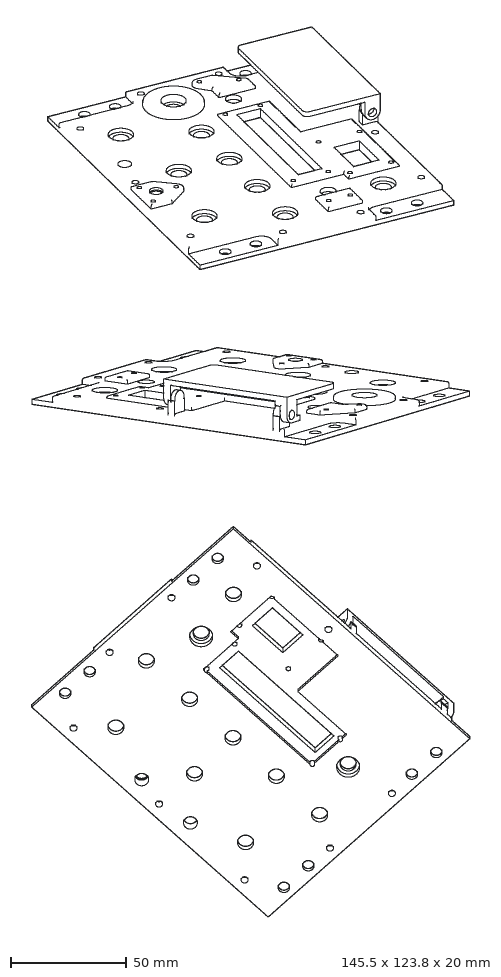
import cadquery as cq
import math

WIDTH = 145.5
DEPTH = 123.82
HEIGHT = 20.0
SIDE = WIDTH / 2
BACK = DEPTH / 2
SIGNS = (-1, 1)

PANEL_TOP = 5.2
EDGE_RADIUS = 1.0

FLANGE_TOP = 2.3
FLANGE_WIDTH = 11.0
FLANGE_LENGTH = 38.0
POCKET_CORNER_RADIUS = 5.0
FLANGE_HOLE_D = 5.0
FLANGE_HOLE_X = SIDE - FLANGE_WIDTH / 2
FLANGE_HOLES_Y = (31.8, 46.8)

SCREW_HOLE_D = 3.0
SIDE_SCREW_X = 67.8
SIDE_SCREW_Y = 19.0
END_SCREW_X = 52.6
END_SCREW_Y = 56.3
BACK_MIDDLE_SCREW_X = 8.6

SHAFT_HOLE_D = 7.0
SHAFT_BORE_D = 10.0
SHAFT_BORE_TOP = 3.0
SHAFT_X = 45.2
SHAFT_Y = 14.7

JACK_HOLE_D = 6.0
JACK_XS = (-16.2, 13.8)
JACK_Y = -53.2
JACK_RECESS_D = 10.0
JACK_RECESS_TOP = 5.8

BUTTON_HOLE_D = 7.0
BUTTON_BORE_D = 11.0
BUTTON_BORE_FLOOR = 3.2
BUTTON_PITCH = 26.65
BUTTON_ROW_X = 0.3
BUTTON_ROW_Y = -10.6
BUTTON_ROW_STEPS = (-2, -1, 0, 1, 2)
LOOSE_BUTTONS = [(-39.9, -43.0), (39.9, -43.0), (-0.4, -34.9), (49.9, 39.2)]

PAD_TOP = 7.0
BLIND_HOLE_D = 2.0
BLIND_HOLE_DEPTH = 3.0
DIAL_D = 27.0

LATCH_NOSE = (-62.8, 6.9)
LATCH_NOSE_RADIUS = 3.1
LATCH_SHOULDER_Y = 14.65
LATCH_FRONT = 9.6
LATCH_BACK = 27.4
LATCH_RIGHT = -49.1
LATCH_BACK_LEFT = -56.2
LATCH_HOLES = [(-62.6, 6.9), (-56.4, 23.0)]

SENSOR_LEFT, SENSOR_RIGHT = 49.1, 61.1
SENSOR_FRONT, SENSOR_BACK = 6.6, 23.4
SENSOR_HOLES = [(55.2, 9.8), (55.2, 20.4)]

JACK_PAD_X = 14.4
JACK_PAD_HALF_WIDTH = 9.6
JACK_PAD_FRONT = -60.9
JACK_PAD_SHOULDER_Y = -50.6
JACK_PAD_NOSE_Y = -43.7
JACK_PAD_NOSE_RADIUS = 3.3
JACK_PAD_HOLE_SPREAD = 6.6
JACK_PAD_HOLES_Y = -58.3

PLATFORM_HEIGHT = 1.1
LCD_LEFT, LCD_RIGHT = -35.5, 35.1
LCD_FRONT, LCD_BACK = 1.9, 27.4
KEYPAD_LEFT, KEYPAD_RIGHT = -5.5, 39.8
KEYPAD_BACK = 52.2
WINDOWS = [
    (-1.35, 14.65, 58.7, 11.5),
    (23.25, 39.7, 18.7, 12.3),
]
PLATFORM_HOLE_D = 2.0
LCD_HOLES = [(x, y) for x in (-33.3, 31.6) for y in (4.6, 21.7)]
KEYPAD_HOLES = [(x, y) for x in (6.6, 36.7) for y in (29.7, 49.7)]
UNDERSIDE_RECESS_TOP = 1.8
UNDERSIDE_RECESS_INSET = 2.0

ARM_FRONT = 54.3
HINGE_DEPTH = BACK - ARM_FRONT
HINGE_Y = BACK - HINGE_DEPTH / 2
HINGE_Z = 11.5
HINGE_HOLE_D = 4.0
HINGE_PIN_D = 3.75
PIN_INSET = 2.5

COVER_LEFT, COVER_RIGHT = -62.9, 2.6
COVER_FRONT = 25.0
COVER_THICKNESS = 2.4
COVER_UNDERSIDE = HEIGHT - COVER_THICKNESS
COVER_CORNER_RADIUS = 2.5
ARM_THICKNESS = 3.5
ARM_BOTTOM = 8.0
ARM_ROUND_RADIUS = HINGE_DEPTH / 2
ARM_ROUND_Z = ARM_BOTTOM + ARM_ROUND_RADIUS

CATCH_WIDTH = 6.3
CATCH_FRONT = 52.0
CATCH_TOP = 10.3
CATCH_BLOCK_FRONT = 55.4
CATCH_CLEARANCE_D = 11.0

POST_THICKNESS = 3.5
POST_LEDGE = 10.85
POST_ROUND_RADIUS = 3.5
LEFT_POST_OUTER = -58.95
RIGHT_POST_OUTER = 0.4
RIGHT_WEB = 2.1


def box(x0, x1, y0, y1, z0, z1):
    return cq.Workplane("XY").box(x1 - x0, y1 - y0, z1 - z0, centered=False).translate((x0, y0, z0))


def x_cylinder(radius, x0, x1, z=HINGE_Z):
    """Cylinder along X at the hinge, from x0 to x1."""
    return cq.Workplane("YZ", origin=(x0, HINGE_Y, z)).circle(radius).extrude(x1 - x0)


def drills(points, diameter, bottom=0.0, top=PAD_TOP):
    """Vertical cylinders to cut away at the given points."""
    start = cq.Workplane("XY", origin=(0, 0, bottom))
    return start.pushPoints(points).circle(diameter / 2).extrude(top - bottom)


def round_top(body, radius=EDGE_RADIUS):
    return body.faces(">Z").edges().fillet(radius)


def on_panel():
    return cq.Workplane("XY", origin=(0, 0, PANEL_TOP))


def corner_pocket(x_sign, y_sign):
    corner = cq.Workplane("XY", origin=(x_sign * SIDE, y_sign * BACK, FLANGE_TOP))
    block = corner.rect(2 * FLANGE_WIDTH, 2 * FLANGE_LENGTH).extrude(PANEL_TOP - FLANGE_TOP)
    return block.edges("|Z").fillet(POCKET_CORNER_RADIUS)


def panel_slab():
    slab = box(-SIDE, SIDE, -BACK, BACK, 0, PANEL_TOP)
    for x_sign in SIGNS:
        for y_sign in SIGNS:
            slab = slab.cut(corner_pocket(x_sign, y_sign))
    return round_top(slab)


def display_platform():
    lcd = box(LCD_LEFT, LCD_RIGHT, LCD_FRONT, LCD_BACK, PANEL_TOP, PANEL_TOP + PLATFORM_HEIGHT)
    keypad = box(KEYPAD_LEFT, KEYPAD_RIGHT, LCD_BACK, KEYPAD_BACK, PANEL_TOP, PANEL_TOP + PLATFORM_HEIGHT)
    return round_top(lcd.union(keypad).clean())


def underside_recess():
    """Shallow recess under the display platform, around both windows."""
    inset = UNDERSIDE_RECESS_INSET
    lcd = box(LCD_LEFT + inset, LCD_RIGHT - inset, LCD_FRONT + inset, LCD_BACK - inset,
              0, UNDERSIDE_RECESS_TOP)
    keypad = box(KEYPAD_LEFT + inset, KEYPAD_RIGHT - inset, LCD_BACK - inset, KEYPAD_BACK - inset,
                 0, UNDERSIDE_RECESS_TOP)
    return lcd.union(keypad)


def dial_pad(centre):
    return round_top(on_panel().center(*centre).circle(DIAL_D / 2).extrude(PAD_TOP - PANEL_TOP))


def sensor_pad():
    return round_top(box(SENSOR_LEFT, SENSOR_RIGHT, SENSOR_FRONT, SENSOR_BACK, PANEL_TOP, PAD_TOP))


def latch_pad():
    """Pad with a round nose that runs at 45 degrees into its front edge."""
    nose_x, nose_y = LATCH_NOSE
    radius = LATCH_NOSE_RADIUS
    diagonal = radius * math.sqrt(0.5)
    rise = LATCH_FRONT - (nose_y - diagonal)
    mid_angle = math.radians(247.5)
    nose_middle = (nose_x + radius * math.cos(mid_angle), nose_y + radius * math.sin(mid_angle))
    outline = (
        on_panel()
        .moveTo(nose_x - radius, nose_y)
        .threePointArc(nose_middle, (nose_x + diagonal, nose_y - diagonal))
        .lineTo(nose_x + diagonal + rise, LATCH_FRONT)
        .lineTo(LATCH_RIGHT, LATCH_FRONT)
        .lineTo(LATCH_RIGHT, LATCH_BACK)
        .lineTo(LATCH_BACK_LEFT, LATCH_BACK)
        .lineTo(nose_x - radius, LATCH_SHOULDER_Y)
        .close()
    )
    return round_top(outline.extrude(PAD_TOP - PANEL_TOP))


def jack_pad():
    """House-shaped pad whose sloping sides are tangent to a round nose."""
    left = JACK_PAD_X - JACK_PAD_HALF_WIDTH
    right = JACK_PAD_X + JACK_PAD_HALF_WIDTH
    radius = JACK_PAD_NOSE_RADIUS
    nose_rise = JACK_PAD_NOSE_Y - JACK_PAD_SHOULDER_Y
    reach = math.hypot(JACK_PAD_HALF_WIDTH, nose_rise)
    angle = math.atan2(nose_rise, JACK_PAD_HALF_WIDTH) + math.asin(radius / reach)
    tangent_x = radius * math.sin(angle)
    tangent_y = JACK_PAD_NOSE_Y + radius * math.cos(angle)
    outline = (
        on_panel()
        .moveTo(left, JACK_PAD_FRONT)
        .lineTo(right, JACK_PAD_FRONT)
        .lineTo(right, JACK_PAD_SHOULDER_Y)
        .lineTo(JACK_PAD_X + tangent_x, tangent_y)
        .threePointArc((JACK_PAD_X, JACK_PAD_NOSE_Y + radius), (JACK_PAD_X - tangent_x, tangent_y))
        .lineTo(left, JACK_PAD_SHOULDER_Y)
        .close()
    )
    return round_top(outline.extrude(PAD_TOP - PANEL_TOP))


def hinge_post(outer, inward, web):
    """Post with a ledge; above the ledge only a round-topped web of the given thickness stands."""
    inner = outer + inward * POST_THICKNESS
    x0, x1 = sorted((outer, inner))
    web_x0, web_x1 = sorted((inner, inner - inward * web))
    base = box(x0, x1, ARM_FRONT, BACK, FLANGE_TOP, POST_LEDGE)
    arm_clearance = x_cylinder(ARM_ROUND_RADIUS, x0, x1, ARM_ROUND_Z)
    web_base = box(web_x0, web_x1, ARM_FRONT, BACK, FLANGE_TOP, POST_LEDGE)
    web_top = x_cylinder(POST_ROUND_RADIUS, web_x0, web_x1)
    return base.cut(arm_clearance).union(web_base).union(web_top)


def cut_holes(body):
    flange_holes = [(a * FLANGE_HOLE_X, b * y) for a in SIGNS for b in SIGNS for y in FLANGE_HOLES_Y]
    screw_holes = [(a * SIDE_SCREW_X, b * SIDE_SCREW_Y) for a in SIGNS for b in SIGNS]
    screw_holes += [(x, -END_SCREW_Y) for x in (-END_SCREW_X, 0, END_SCREW_X)]
    screw_holes += [(x, END_SCREW_Y) for x in (BACK_MIDDLE_SCREW_X, END_SCREW_X)]
    shaft_holes = [(a * SHAFT_X, SHAFT_Y) for a in SIGNS]
    jack_holes = [(x, JACK_Y) for x in JACK_XS]
    jack_pad_holes = [(JACK_PAD_X, JACK_PAD_NOSE_Y)]
    jack_pad_holes += [(JACK_PAD_X + a * JACK_PAD_HOLE_SPREAD, JACK_PAD_HOLES_Y) for a in SIGNS]
    buttons = BUTTON_ROW + LOOSE_BUTTONS
    blind_holes = LATCH_HOLES + SENSOR_HOLES + jack_pad_holes

    body = body.cut(drills(flange_holes, FLANGE_HOLE_D))
    body = body.cut(drills(screw_holes, SCREW_HOLE_D))
    body = body.cut(drills(shaft_holes, SHAFT_HOLE_D))
    body = body.cut(drills(shaft_holes, SHAFT_BORE_D, top=SHAFT_BORE_TOP))
    body = body.cut(drills(jack_holes, JACK_HOLE_D))
    body = body.cut(drills(jack_holes[-1:], JACK_RECESS_D, PANEL_TOP, JACK_RECESS_TOP))
    body = body.cut(drills(buttons, BUTTON_HOLE_D))
    body = body.cut(drills(buttons, BUTTON_BORE_D, bottom=BUTTON_BORE_FLOOR))
    body = body.cut(drills(LCD_HOLES + KEYPAD_HOLES, PLATFORM_HOLE_D))
    return body.cut(drills(blind_holes, BLIND_HOLE_D, bottom=PAD_TOP - BLIND_HOLE_DEPTH))


BUTTON_ROW = [(BUTTON_ROW_X + step * BUTTON_PITCH, BUTTON_ROW_Y) for step in BUTTON_ROW_STEPS]

panel = panel_slab()
for pad in (display_platform(), dial_pad(BUTTON_ROW[0]), sensor_pad(), latch_pad(), jack_pad()):
    panel = panel.union(pad)
panel = cut_holes(panel)
for window_x, window_y, window_width, window_depth in WINDOWS:
    window = cq.Workplane("XY").center(window_x, window_y).rect(window_width, window_depth)
    panel = panel.cut(window.extrude(PAD_TOP))
panel = panel.cut(underside_recess())
panel = panel.union(hinge_post(LEFT_POST_OUTER, 1, POST_THICKNESS))
panel = panel.union(hinge_post(RIGHT_POST_OUTER, -1, RIGHT_WEB))
left_pin_root = LEFT_POST_OUTER + POST_THICKNESS
right_pin_root = RIGHT_POST_OUTER - POST_THICKNESS
panel = panel.union(x_cylinder(HINGE_PIN_D / 2, COVER_LEFT + PIN_INSET, left_pin_root))
panel = panel.union(x_cylinder(HINGE_PIN_D / 2, right_pin_root, COVER_RIGHT - PIN_INSET))


def round_arm(x0, x1):
    """Arm with a fully round lower end."""
    upper = box(x0, x1, ARM_FRONT, BACK, ARM_ROUND_Z, COVER_UNDERSIDE)
    return upper.union(x_cylinder(ARM_ROUND_RADIUS, x0, x1, ARM_ROUND_Z))


def catch_arm():
    """Left arm with a square front, a forward catch and room for the post beside it."""
    arm_inner = COVER_LEFT + ARM_THICKNESS
    catch_inner = COVER_LEFT + CATCH_WIDTH
    arm = round_arm(COVER_LEFT, catch_inner)
    square_front = box(COVER_LEFT, catch_inner, ARM_FRONT, HINGE_Y, ARM_BOTTOM, COVER_UNDERSIDE)
    catch = box(COVER_LEFT, catch_inner, CATCH_FRONT, HINGE_Y, ARM_BOTTOM, CATCH_TOP)
    block_setback = box(arm_inner, catch_inner, ARM_FRONT, CATCH_BLOCK_FRONT, CATCH_TOP, COVER_UNDERSIDE)
    post_clearance = x_cylinder(CATCH_CLEARANCE_D / 2, arm_inner, catch_inner)
    return arm.union(square_front).union(catch).cut(block_setback).cut(post_clearance)


def cover_plate():
    plate = box(COVER_LEFT, COVER_RIGHT, COVER_FRONT, BACK, COVER_UNDERSIDE, HEIGHT)
    return plate.edges("|Z and <Y").fillet(COVER_CORNER_RADIUS)


cover = cover_plate().union(catch_arm()).union(round_arm(COVER_RIGHT - ARM_THICKNESS, COVER_RIGHT))
cover = cover.cut(x_cylinder(HINGE_HOLE_D / 2, COVER_LEFT, COVER_RIGHT))

result = cq.Compound.makeCompound([panel.val(), cover.val()])